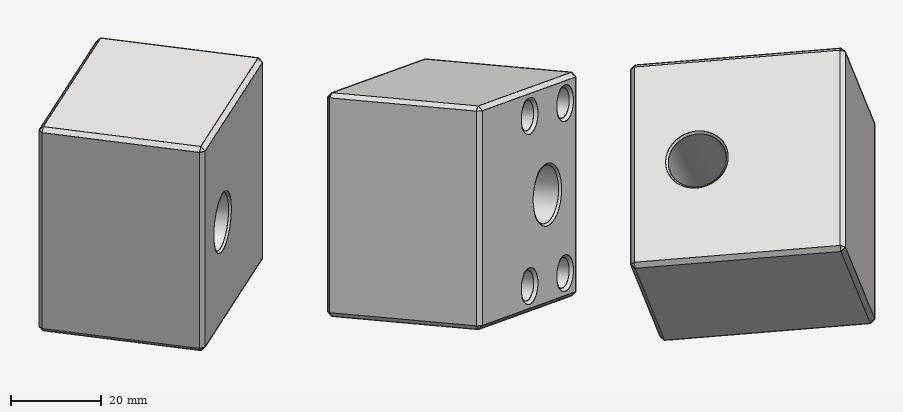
import cadquery as cq
import math

width = 38.0
depth = 48.0
height = 50.0
edge_chamfer = 1.0

bore_diameter = 13.0
bore_chamfer = 0.5
bore_y = -9.0

screw_diameter = 6.8
screw_chamfer = 0.7
screw_depth = 20.0
screw_pitch_y = 17.5
screw_pitch_z = 38.0
drill_point_angle = 118.0

entry_x = -width / 2


def revolve_about_x(profile):
    """Solid of revolution about the X axis from (x, radius) points."""
    return cq.Workplane("XY").polyline(profile).close().revolve(360, (0, 0, 0), (1, 0, 0))


def bore_cutter():
    """Through bore with both rims chamfered."""
    radius = bore_diameter / 2
    exit_x = -entry_x
    return revolve_about_x([
        (entry_x, 0),
        (entry_x, radius + bore_chamfer),
        (entry_x + bore_chamfer, radius),
        (exit_x - bore_chamfer, radius),
        (exit_x, radius + bore_chamfer),
        (exit_x, 0),
    ])


def screw_hole_cutter():
    """Blind hole with a chamfered rim and a conical drill point."""
    radius = screw_diameter / 2
    point_length = radius / math.tan(math.radians(drill_point_angle / 2))
    return revolve_about_x([
        (entry_x, 0),
        (entry_x, radius + screw_chamfer),
        (entry_x + screw_chamfer, radius),
        (entry_x + screw_depth, radius),
        (entry_x + screw_depth + point_length, 0),
    ])


result = cq.Workplane("XY").box(width, depth, height).edges().chamfer(edge_chamfer)
result = result.cut(bore_cutter().translate((0, bore_y, 0)))
for side_y in (-1, 1):
    for side_z in (-1, 1):
        place = (0, bore_y + side_y * screw_pitch_y / 2, side_z * screw_pitch_z / 2)
        result = result.cut(screw_hole_cutter().translate(place))